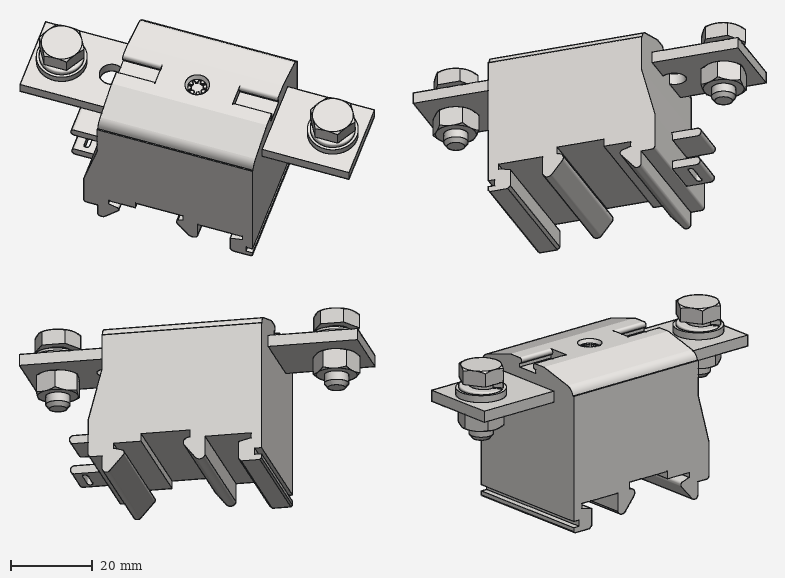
import cadquery as cq
import math

bar_length = 85.0
bar_width = 20.0
bar_bottom = 32.4
bar_top = 35.3
bar_hole_diameter = 6.0
bar_hole_x = -22.1

housing_width = 35.0
housing_half_length = 20.1
housing_top = 40.5
flat_half_width = 6.3
slope_end_y = 15.2
slope_end_z = 38.1
corner_end_y = 17.2
corner_end_z = 35.95
corner_bulge = 0.25

slot_inner_x = 10.0
slot_width = 5.95
slot_depth = 2.5
lip_radius = 0.8

screw_hole_diameter = 6.0
screw_hole_depth = 0.9
star_groove_pairs = 4
star_groove_width = 0.6
star_outer_diameter = 4.7
star_core_diameter = 2.9
star_depth = 0.5

tab_width = 10.0
tab_thickness = 2.1
tab_root_x = -22.1
upper_tab_tip_x = -31.0
upper_tab_bottom = 12.75
lower_tab_tip_x = -30.8
lower_tab_bottom = 4.85
tab_slot_x = -27.5
tab_slot_length = 7.1
tab_slot_width = 1.4

bolt_x = 35.0
hex_across_flats = 10.0
hex_across_corners = hex_across_flats * 2 / math.sqrt(3)
hex_chamfer_angle = 30.0
head_bottom = 39.1
head_top = 43.0
nut_bottom = 27.3
left_nut_turn = 36.0
right_nut_turn = 7.0
shank_diameter = 6.0
shank_bottom = 24.0
shank_chamfer_height = 1.1
shank_chamfer_width = 0.85
washer_diameter = 12.5
washer_top = 37.1
lock_washer_diameter = 11.05
lock_washer_thickness = 1.4
lock_washer_pitch = 1.45
lock_washer_overlap = 0.2
lock_washer_low_top = 37.2
lock_washer_edge_radius = 0.4
lock_washer_start_angle = 122.0
lock_washer_turn = 355.0

front_slope_top = 26.9
front_slope_bottom = 13.9
step_x = -23.55
step_bottom = 4.3
step_corner_radius = 0.85

rail_face_z = 7.4
undercut_z = 6.1
relief_z = 9.35
relief_left_x = -10.2
relief_right_x = 2.0

left_hook_back_x = -20.0
left_hook_front_x = -17.2
left_hook_toe_start = (left_hook_back_x, 0.85)
left_hook_toe_middle = (-19.1, 0.0)
left_hook_toe_end = (-18.0, 0.4)
left_hook_tip_start = (-14.7, 4.2)
left_hook_tip_middle = (-14.45, 4.85)
left_hook_tip_end = (-14.9, 5.4)

middle_hook_back_x = 5.9
middle_hook_neck_z = 7.65
middle_hook_tip_start = (0.85, 7.2)
middle_hook_tip_middle = (0.4, 6.5)
middle_hook_tip_end = (0.7, 5.4)
middle_hook_toe_start = (3.4, 2.1)
middle_hook_toe_middle = (4.6, 1.6)
middle_hook_toe_end = (middle_hook_back_x, 2.6)

foot_front_x = 14.3
foot_undercut_x = 17.4
foot_tip_z = 5.35
foot_bottom = 0.25
foot_front_chamfer = 0.7
foot_back_chamfer = 0.4
foot_notch_x = 18.4
foot_notch_bottom = 1.7
foot_notch_top = 3.3


def box(x_min, x_max, width, z_min, z_max):
    """Block centred on Y = 0."""
    block = cq.Workplane("XY", origin=(0, 0, z_min)).rect(x_max - x_min, width)
    return block.extrude(z_max - z_min).translate(((x_min + x_max) / 2, 0, 0))


def make_housing():
    side = (
        cq.Workplane("XZ")
        .moveTo(-housing_half_length, housing_top)
        .lineTo(-housing_half_length, front_slope_top)
        .lineTo(step_x, front_slope_bottom)
        .lineTo(step_x, step_bottom + step_corner_radius)
        .radiusArc((step_x + step_corner_radius, step_bottom), -step_corner_radius)
        .lineTo(left_hook_back_x, step_bottom)
        .lineTo(*left_hook_toe_start)
        .threePointArc(left_hook_toe_middle, left_hook_toe_end)
        .lineTo(*left_hook_tip_start)
        .threePointArc(left_hook_tip_middle, left_hook_tip_end)
        .lineTo(left_hook_front_x, undercut_z)
        .lineTo(left_hook_front_x, rail_face_z)
        .lineTo(relief_left_x, rail_face_z)
        .lineTo(relief_left_x, relief_z)
        .lineTo(relief_right_x, relief_z)
        .lineTo(relief_right_x, middle_hook_neck_z)
        .lineTo(*middle_hook_tip_start)
        .threePointArc(middle_hook_tip_middle, middle_hook_tip_end)
        .lineTo(*middle_hook_toe_start)
        .threePointArc(middle_hook_toe_middle, middle_hook_toe_end)
        .lineTo(middle_hook_back_x, rail_face_z)
        .lineTo(foot_undercut_x, rail_face_z)
        .lineTo(foot_undercut_x, undercut_z)
        .lineTo(foot_front_x, foot_tip_z)
        .lineTo(foot_front_x, foot_bottom + foot_front_chamfer)
        .lineTo(foot_front_x + foot_front_chamfer, foot_bottom)
        .lineTo(housing_half_length - foot_back_chamfer, foot_bottom)
        .lineTo(housing_half_length, foot_bottom + foot_back_chamfer)
        .lineTo(housing_half_length, foot_notch_bottom)
        .lineTo(foot_notch_x, foot_notch_bottom)
        .lineTo(foot_notch_x, foot_notch_top)
        .lineTo(housing_half_length, foot_notch_top)
        .lineTo(housing_half_length, housing_top)
        .close()
        .extrude(housing_width / 2, both=True)
    )

    half_width = housing_width / 2
    middle_y = (slope_end_y + corner_end_y) / 2 + corner_bulge
    middle_z = (slope_end_z + corner_end_z) / 2 + corner_bulge
    end_view = (
        cq.Workplane("YZ")
        .moveTo(-half_width, 0)
        .lineTo(-half_width, corner_end_z)
        .lineTo(-corner_end_y, corner_end_z)
        .threePointArc((-middle_y, middle_z), (-slope_end_y, slope_end_z))
        .lineTo(-flat_half_width, housing_top)
        .lineTo(flat_half_width, housing_top)
        .lineTo(slope_end_y, slope_end_z)
        .threePointArc((middle_y, middle_z), (corner_end_y, corner_end_z))
        .lineTo(half_width, corner_end_z)
        .lineTo(half_width, 0)
        .close()
        .extrude(bar_length / 2, both=True)
    )
    return side.intersect(end_view)


def make_roof_slot(side):
    """Cutter for a slot open at one end of the roof, narrowed by half-round lips."""
    inner, outer = sorted((side * slot_inner_x, side * bar_length / 2))
    cutter = box(inner, outer, slot_width, housing_top - slot_depth, housing_top)
    lips = (
        cq.Workplane("YZ", origin=(inner, 0, housing_top - lip_radius))
        .pushPoints([(-slot_width / 2, 0), (slot_width / 2, 0)])
        .circle(lip_radius)
        .extrude(outer - inner)
    )
    return cutter.cut(lips)


def make_screw_recess():
    """Cutter for the countersunk recess and the star socket of the clamp screw."""
    cone = (
        cq.Workplane("XY", origin=(0, 0, housing_top))
        .circle(screw_hole_diameter / 2)
        .workplane(offset=-screw_hole_depth)
        .circle(star_outer_diameter / 2)
        .loft()
    )
    star_bottom = housing_top - screw_hole_depth - star_depth
    core = cq.Workplane("XY", origin=(0, 0, star_bottom)).circle(star_core_diameter / 2)
    recess = cone.union(core.extrude(star_depth))
    for i in range(star_groove_pairs):
        half = star_outer_diameter / 2
        groove = box(-half, half, star_groove_width, star_bottom, star_bottom + star_depth)
        recess = recess.union(groove.rotate((0, 0, 0), (0, 0, 1), i * 180 / star_groove_pairs))
    return recess


def make_bar():
    bar = box(-bar_length / 2, bar_length / 2, bar_width, bar_bottom, bar_top)
    hole = cq.Workplane("XY", origin=(bar_hole_x, 0, bar_bottom)).circle(bar_hole_diameter / 2)
    return bar.cut(hole.extrude(bar_top - bar_bottom))


def make_tab(tip_x, bottom):
    nose_radius = tab_thickness / 2
    shoulder_x = tip_x + nose_radius
    return (
        cq.Workplane("XZ")
        .moveTo(tab_root_x, bottom)
        .lineTo(shoulder_x, bottom)
        .threePointArc((tip_x, bottom + nose_radius), (shoulder_x, bottom + tab_thickness))
        .lineTo(tab_root_x, bottom + tab_thickness)
        .close()
        .extrude(tab_width / 2, both=True)
    )


def make_tab_slot():
    return (
        cq.Workplane("XY", origin=(tab_slot_x, 0, lower_tab_bottom))
        .slot2D(tab_slot_length, tab_slot_width, 90)
        .extrude(tab_thickness)
    )


def make_hex(bottom, top, turn, chamfer_bottom):
    """Hexagon whose corners are bevelled by a cone on the top, and optionally on the bottom."""
    height = top - bottom
    body = cq.Workplane("XY").polygon(6, hex_across_corners).extrude(height)
    flat_radius = hex_across_flats / 2
    corner_radius = hex_across_corners / 2
    drop = (corner_radius - flat_radius) * math.tan(math.radians(hex_chamfer_angle))
    outline = [(0, 0)]
    if chamfer_bottom:
        outline += [(flat_radius, 0), (corner_radius, drop)]
    else:
        outline += [(corner_radius, 0)]
    outline += [(corner_radius, height - drop), (flat_radius, height), (0, height)]
    envelope = cq.Workplane("XZ").polyline(outline).close().revolve(360, (0, 0), (0, 1))
    body = body.rotate((0, 0, 0), (0, 0, 1), turn)
    return body.intersect(envelope).translate((0, 0, bottom))


def make_lock_washer():
    """One split helical turn, rising clockwise when seen from above."""
    inner_radius = shank_diameter / 2 - lock_washer_overlap
    outer_radius = lock_washer_diameter / 2
    rise = lock_washer_pitch * lock_washer_turn / 360
    path = cq.Wire.makeHelix(lock_washer_pitch, rise, outer_radius, lefthand=True)
    section = (
        cq.Workplane("XZ")
        .moveTo(inner_radius, -lock_washer_thickness)
        .lineTo(outer_radius, -lock_washer_thickness)
        .lineTo(outer_radius, -lock_washer_edge_radius)
        .radiusArc((outer_radius - lock_washer_edge_radius, 0), -lock_washer_edge_radius)
        .lineTo(inner_radius, 0)
        .close()
    )
    ring = section.sweep(cq.Workplane(path), isFrenet=True)
    ring = ring.rotate((0, 0, 0), (0, 0, 1), lock_washer_start_angle)
    return ring.translate((0, 0, lock_washer_low_top))


def make_bolt(x, nut_turn):
    shank = cq.Workplane("XY", origin=(0, 0, shank_bottom)).circle(shank_diameter / 2)
    shank = shank.extrude(head_bottom - shank_bottom)
    shank = shank.faces("<Z").chamfer(shank_chamfer_height, shank_chamfer_width)
    washer = cq.Workplane("XY", origin=(0, 0, bar_top)).circle(washer_diameter / 2)
    washer = washer.extrude(washer_top - bar_top)
    bolt = (
        shank
        .union(washer)
        .union(make_lock_washer())
        .union(make_hex(head_bottom, head_top, 0, False))
        .union(make_hex(nut_bottom, bar_bottom, nut_turn, True))
    )
    return bolt.translate((x, 0, 0))


housing = make_housing().cut(make_screw_recess())
for slot_side in (-1, 1):
    housing = housing.cut(make_roof_slot(slot_side))

result = (
    housing
    .union(make_bar())
    .union(make_tab(upper_tab_tip_x, upper_tab_bottom))
    .union(make_tab(lower_tab_tip_x, lower_tab_bottom).cut(make_tab_slot()))
    .union(make_bolt(-bolt_x, left_nut_turn))
    .union(make_bolt(bolt_x, right_nut_turn))
)